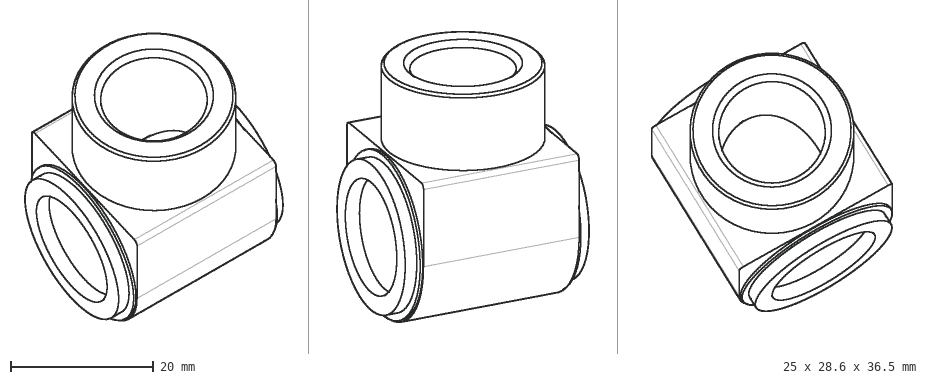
import cadquery as cq

width = 25.0
half_width = width / 2
block_length = 24.2
block_top = half_width
top_edge_radius = 0.7

neck_diameter = 23.0
neck_top = 24.0
neck_chamfer = 0.4
neck_bore_diameter = 14.95
neck_bore_mouth_diameter = 16.7
mouth_chamfer = (neck_bore_mouth_diameter - neck_bore_diameter) / 2

cross_bore_diameter = 16.8
ring_base_diameter = 24.5
ring_base_thickness = 0.4
ring_lip_diameter = 22.3
ring_lip_thickness = 1.8


def make_block():
    """Extruded block, centred on Y, with rounded top long edges."""
    profile = (
        cq.Workplane("XZ")
        .moveTo(-half_width, 0)
        .lineTo(-half_width, block_top)
        .lineTo(half_width, block_top)
        .lineTo(half_width, 0)
        .threePointArc((0, -half_width), (-half_width, 0))
        .close()
    )
    block = profile.extrude(block_length / 2, both=True)
    return block.faces(">Z").edges("|Y").fillet(top_edge_radius)


def make_neck():
    """Round neck standing on the block, chamfered on its top rim."""
    neck = cq.Workplane("XY").circle(neck_diameter / 2).extrude(neck_top)
    return neck.faces(">Z").edges().chamfer(neck_chamfer)


def make_neck_bore():
    """Cutter for the upright bore, from the cross bore axis up to a flared mouth."""
    bore = cq.Workplane("XY").circle(neck_bore_diameter / 2).extrude(neck_top)
    mouth = (
        cq.Workplane("XY", origin=(0, 0, neck_top - mouth_chamfer))
        .circle(neck_bore_diameter / 2)
        .workplane(offset=mouth_chamfer)
        .circle(neck_bore_mouth_diameter / 2)
        .loft()
    )
    return bore.union(mouth)


def make_housing():
    """Block and neck in one solid, with the two bores meeting inside."""
    cross_bore = cq.Workplane("XZ").circle(cross_bore_diameter / 2).extrude(block_length / 2, both=True)
    body = make_block().union(make_neck())
    return body.cut(cross_bore).cut(make_neck_bore())


def make_ring(side):
    """Stepped end ring; side is -1 for the -Y end and +1 for the +Y end."""
    seat = side * block_length / 2
    outward = cq.Workplane(cq.Plane(origin=(0, seat, 0), xDir=(1, 0, 0), normal=(0, side, 0)))
    ring_length = ring_base_thickness + ring_lip_thickness
    base = outward.circle(ring_base_diameter / 2).extrude(ring_base_thickness)
    lip = outward.circle(ring_lip_diameter / 2).extrude(ring_length)
    bore = outward.circle(cross_bore_diameter / 2).extrude(ring_length)
    return base.union(lip).cut(bore)


housing = make_housing()
rings = [make_ring(side) for side in (-1, 1)]
result = cq.Compound.makeCompound([housing.val(), *[ring.val() for ring in rings]])